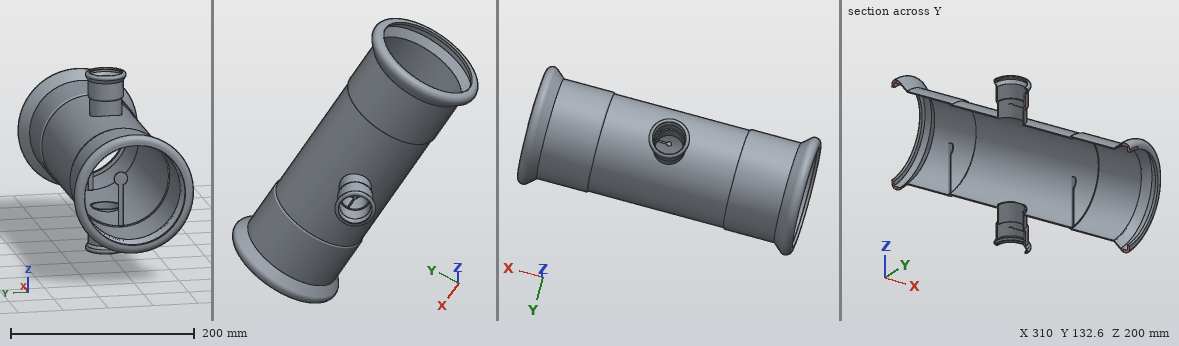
import cadquery as cq

run_outer = 110.0 / 2
run_bore = 53.0
overall_length = 310
pad_height = 0.3
run_half_length = (overall_length - pad_height) / 2

branch_outer = 35.0 / 2
branch_bore = 15.5
overall_height = 200.0
branch_end = overall_height / 2
lower_branch_inner_end = 50.5

shoulder_radial_fraction = 0.75
shoulder_axial_fraction = 0.35

RUN_SOCKET = dict(
    end=run_half_length,
    tube_outer=run_outer,
    outer=112.8 / 2,
    bore=54.5,
    mouth_bore=56.0,
    groove=62.0,
    groove_top=151.5,
    rim=59.8,
    bead=66.3,
    bead_base=64.2,
    step_start=76.5,
    stop=79.5,
    cone_start=134.2,
    cone_end=143.2,
    bead_crest=148.5,
)
BRANCH_SOCKET = dict(
    end=branch_end,
    tube_outer=branch_outer,
    outer=38.5 / 2,
    bore=17.0,
    mouth_bore=18.3,
    groove=20.0,
    groove_top=98.0,
    rim=19.5,
    bead=22.15,
    bead_base=21.5,
    step_start=71.3,
    stop=74.0,
    cone_start=91.5,
    cone_end=95.2,
    bead_crest=97.3,
)

run_disc_diameter = 15.0
run_arm_width = 5.3
run_marker_thickness = 1.0
branch_to_run_marker = 1 / 3

pad_inner = 56.7
pad_outer = 59.5
pad_half_width = 15.8

RUN_PORTS = [cq.Plane((0, 0, 0), (0, 0, -1), (side, 0, 0)) for side in (-1, 1)]
BRANCH_PORTS = [cq.Plane((0, 0, 0), (1, 0, 0), (0, 0, side)) for side in (-1, 1)]


def revolve_on_axis(profile, port):
    """Revolve a (radius, station) profile about local y, then lay local y along the port axis."""
    solid = profile.close().revolve(360, (0, 0, 0), (0, 1, 0)).val()
    upright = solid.rotate(cq.Vector(0, 0, 0), cq.Vector(1, 0, 0), 90)
    return cq.Workplane(upright.moved(cq.Location(port)))


def outer_form(size, port):
    """Solid tube and socket, from the centre of the part to the rim."""
    shoulder_rise = size["outer"] - size["tube_outer"]
    shoulder_length = size["stop"] - size["step_start"]
    shoulder_middle = (
        size["tube_outer"] + shoulder_radial_fraction * shoulder_rise,
        size["step_start"] + shoulder_axial_fraction * shoulder_length,
    )
    profile = (
        cq.Workplane("XY")
        .lineTo(size["tube_outer"], 0)
        .lineTo(size["tube_outer"], size["step_start"])
        .threePointArc(shoulder_middle, (size["outer"], size["stop"]))
        .lineTo(size["outer"], size["cone_start"])
        .lineTo(size["bead_base"], size["cone_end"])
        .threePointArc((size["bead"], size["bead_crest"]), (size["rim"], size["end"]))
        .lineTo(0, size["end"])
    )
    return revolve_on_axis(profile, port)


def bore_form(size, tube_bore, port):
    """Stepped bore: tube bore, stop ledge, socket bore, seal groove inside the bead and mouth."""
    profile = (
        cq.Workplane("XY")
        .lineTo(tube_bore, 0)
        .lineTo(tube_bore, size["stop"])
        .lineTo(size["bore"], size["stop"])
        .lineTo(size["bore"], size["cone_start"])
        .lineTo(size["groove"], size["cone_end"])
        .lineTo(size["groove"], size["groove_top"])
        .lineTo(size["mouth_bore"], size["groove_top"])
        .lineTo(size["mouth_bore"], size["end"])
        .lineTo(0, size["end"])
    )
    return revolve_on_axis(profile, port)


def make_rim_pad():
    """Ring segment centred on +Z, standing on the +X rim face."""
    ring = (
        cq.Workplane("YZ", origin=(run_half_length, 0, 0))
        .circle(pad_outer)
        .circle(pad_inner)
        .extrude(pad_height)
    )
    window = cq.Workplane("XY").box(
        2 * (run_half_length + pad_height), 2 * pad_half_width, pad_outer,
        centered=(True, True, False),
    )
    return ring.intersect(window)


def make_lower_branch_end():
    """Ring that ends the -Z branch tube flat, just inside the run bore."""
    return (
        cq.Workplane("XY", origin=(0, 0, -run_outer))
        .circle(branch_outer)
        .circle(branch_bore)
        .extrude(run_outer - lower_branch_inner_end)
    )


def make_fitting():
    ports = [(RUN_SOCKET, run_bore, port) for port in RUN_PORTS]
    ports += [(BRANCH_SOCKET, branch_bore, port) for port in BRANCH_PORTS]
    fitting = make_rim_pad()
    for size, _, port in ports:
        fitting = fitting.union(outer_form(size, port))
    for size, tube_bore, port in ports:
        fitting = fitting.cut(bore_form(size, tube_bore, port))
    return fitting.union(make_lower_branch_end())


def make_marker(size, tube_bore, scale, port):
    """Thin disc and arm resting on the stop ledge of one socket."""
    thickness = run_marker_thickness * scale
    arm_width = run_arm_width * scale
    reach = (tube_bore + size["bore"]) / 2
    face = cq.Workplane(port).workplane(offset=size["stop"])
    disc = face.circle(run_disc_diameter / 2 * scale).extrude(thickness)
    arm = face.center(reach / 2, 0).rect(reach, arm_width).extrude(thickness)
    return disc.union(arm)


fitting = make_fitting()
markers = [make_marker(RUN_SOCKET, run_bore, 1, port) for port in RUN_PORTS]
markers += [
    make_marker(BRANCH_SOCKET, branch_bore, branch_to_run_marker, port) for port in BRANCH_PORTS
]

result = cq.Compound.makeCompound([*fitting.solids().vals(), *[marker.solids().val() for marker in markers]])